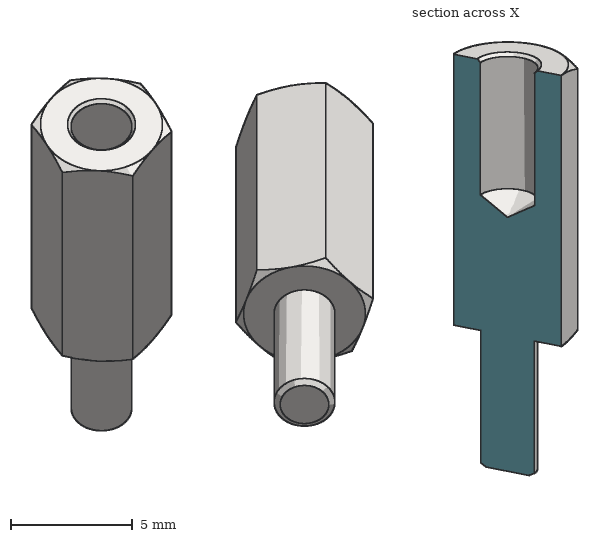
import cadquery as cq
import math

total_length = 18.0
hex_length = 12.0
across_flats = 5.0
thread_diameter = 2.5
corner_chamfer_angle = 30.0
stud_chamfer_height = 0.15
stud_chamfer_width = 0.25
hole_depth = 6.0
drill_tip_angle = 118.0
mouth_chamfer = 0.15

stud_length = total_length - hex_length
across_corners = across_flats / math.cos(math.radians(30))
flat_radius = across_flats / 2
corner_radius = across_corners / 2
thread_radius = thread_diameter / 2
corner_chamfer_height = (corner_radius - flat_radius) * math.tan(math.radians(corner_chamfer_angle))
drill_tip_height = thread_radius / math.tan(math.radians(drill_tip_angle / 2))


def revolve_profile(points):
    """Turn a closed (radius, height) outline about the Z axis."""
    return cq.Workplane("XZ").polyline(points).close().revolve(360, (0, 0, 0), (0, 1, 0))


def hex_body():
    """Hexagon with corners on the X axis, its corners turned off at both ends."""
    prism = cq.Workplane("XY").polygon(6, across_corners).extrude(hex_length)
    turned_envelope = revolve_profile([
        (0, 0),
        (flat_radius, 0),
        (corner_radius, corner_chamfer_height),
        (corner_radius, hex_length - corner_chamfer_height),
        (flat_radius, hex_length),
        (0, hex_length),
    ])
    return prism.intersect(turned_envelope)


def stud():
    """Round stud below the hexagon with a chamfered free end."""
    return revolve_profile([
        (0, 0),
        (thread_radius, 0),
        (thread_radius, stud_chamfer_height - stud_length),
        (thread_radius - stud_chamfer_width, -stud_length),
        (0, -stud_length),
    ])


def blind_hole():
    """Drilled hole from the top with a conical bottom and a chamfered mouth."""
    hole_bottom = hex_length - hole_depth
    return revolve_profile([
        (0, hex_length),
        (thread_radius + mouth_chamfer, hex_length),
        (thread_radius, hex_length - mouth_chamfer),
        (thread_radius, hole_bottom),
        (0, hole_bottom - drill_tip_height),
    ])


result = hex_body().union(stud()).cut(blind_hole())